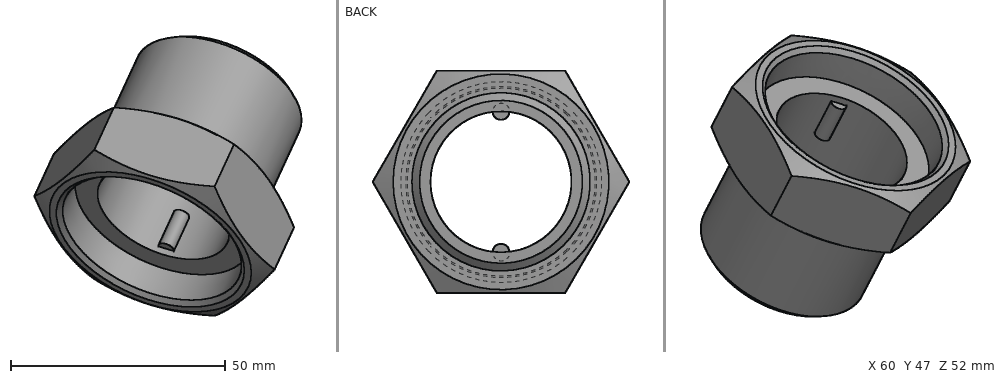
import cadquery as cq
import math

hex_corner_width = 60.0
head_length = 18.5
face_circle_radius = 25.2
corner_chamfer_angle = 30.0

total_length = 47.0
spigot_radius = 20.8
spigot_chamfer = 1.8

socket_depth = 8.65
socket_floor_radius = 21.95
socket_mouth_radius = 22.3
mouth_chamfer_radius = 23.45
mouth_chamfer_depth = 1.15

bore_radius = 16.45
pin_radius = 2.0
pin_setback = 1.8
pin_start = socket_depth + pin_setback
pin_length = 10.3


def revolve_profile(points):
    """Revolve a closed outline of (radius, y) points around the Y axis."""
    return cq.Workplane("XY").polyline(points).close().revolve(360, (0, 0), (0, 1))


def make_head():
    """Hexagonal prism with its corners turned to a cone at both ends."""
    prism = (
        cq.Workplane("XZ")
        .polygon(6, hex_corner_width)
        .extrude(-head_length)
    )
    corner_radius = hex_corner_width / 2
    cone_length = (corner_radius - face_circle_radius) * math.tan(math.radians(corner_chamfer_angle))
    turned_envelope = revolve_profile([
        (0, 0),
        (face_circle_radius, 0),
        (corner_radius, cone_length),
        (corner_radius, head_length - cone_length),
        (face_circle_radius, head_length),
        (0, head_length),
    ])
    return prism.intersect(turned_envelope)


def make_spigot():
    """Solid cylinder along the axis with a chamfered rear end."""
    return revolve_profile([
        (0, 0),
        (spigot_radius, 0),
        (spigot_radius, total_length - spigot_chamfer),
        (spigot_radius - spigot_chamfer, total_length),
        (0, total_length),
    ])


def make_cavity():
    """Chamfered tapered socket that steps down to the through bore."""
    return revolve_profile([
        (0, 0),
        (mouth_chamfer_radius, 0),
        (socket_mouth_radius, mouth_chamfer_depth),
        (socket_floor_radius, socket_depth),
        (bore_radius, socket_depth),
        (bore_radius, total_length),
        (0, total_length),
    ])


def make_pin(side):
    """Pin parallel to the bore, centred on its wall; side is +1 (top) or -1 (bottom)."""
    return (
        cq.Workplane("XZ", origin=(0, pin_start, 0))
        .center(0, side * bore_radius)
        .circle(pin_radius)
        .extrude(-pin_length)
    )


def make_housing(pins):
    """Head and spigot in one piece, hollowed out and recessed for the pins."""
    housing = make_head().union(make_spigot()).cut(make_cavity())
    for pin in pins:
        housing = housing.cut(pin)
    return housing


pins = [make_pin(side) for side in (1, -1)]
housing = make_housing(pins)

result = cq.Compound.makeCompound([housing.val(), *[pin.val() for pin in pins]])